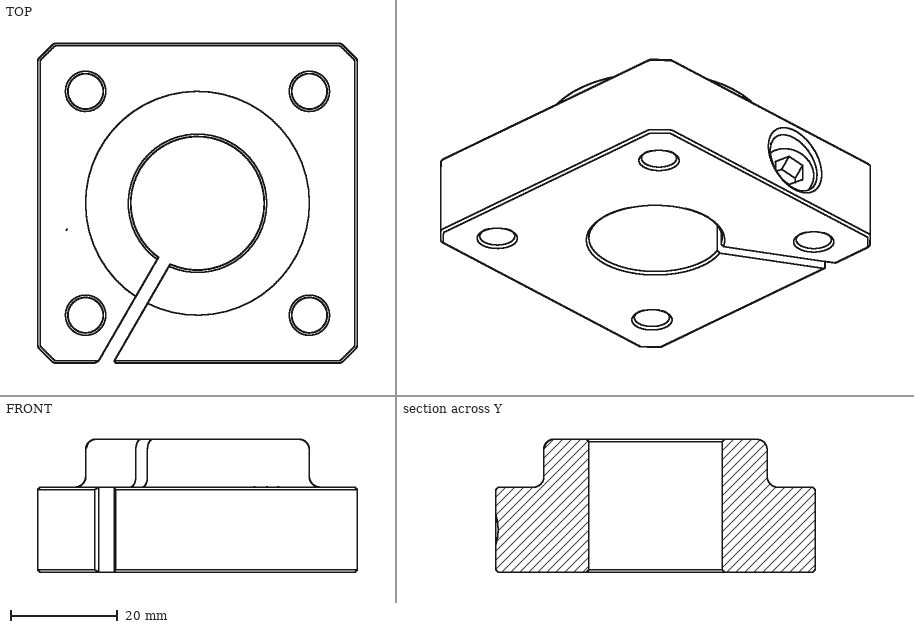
import cadquery as cq
import math

flange_side = 60.0
flange_height = 16.0
corner_cut = 3.0
corner_round = 1.0
edge_break = 0.5

hub_diameter = 42.0
total_height = 25.0
hub_round = 2.0
bore_diameter = 25.0

mount_diameter = 6.6
mount_spacing = 42.0

slot_width = 2.5
slot_tilt = 30.0

screw_offset = 20.65
counterbore_diameter = 11.0
counterbore_break = 0.9
head_diameter = 10.0
head_height = 6.0
head_edge_round = 0.8
head_recess = 3.95
socket_flats = 5.3
socket_depth = 5.0

half_side = flange_side / 2
tilt = math.radians(slot_tilt)
slot_direction = cq.Vector(-math.sin(tilt), -math.cos(tilt), 0)
screw_direction = cq.Vector(math.cos(tilt), -math.sin(tilt), 0)


def make_flange():
    flange = cq.Workplane("XY").box(flange_side, flange_side, flange_height, centered=(True, True, False))
    flange = flange.edges("|Z").chamfer(corner_cut)
    flange = flange.edges("|Z").fillet(corner_round)
    return flange.faces("<Z or >Z").edges().chamfer(edge_break)


def make_hub():
    """Hub with a rounded rim and a concave fillet at its foot, as a turned profile."""
    radius = hub_diameter / 2
    diagonal = hub_round * math.sqrt(0.5)
    foot_middle = (radius + hub_round - diagonal, flange_height + hub_round - diagonal)
    rim_middle = (radius - hub_round + diagonal, total_height - hub_round + diagonal)
    return (
        cq.Workplane("XZ")
        .moveTo(0, flange_height)
        .lineTo(radius + hub_round, flange_height)
        .threePointArc(foot_middle, (radius, flange_height + hub_round))
        .lineTo(radius, total_height - hub_round)
        .threePointArc(rim_middle, (radius - hub_round, total_height))
        .lineTo(0, total_height)
        .close()
        .revolve(360, (0, 0, 0), (0, 1, 0))
    )


def chamfered_hole(diameter, height):
    """Cutter for a through hole from Z = 0, broken at both rims."""
    radius = diameter / 2
    rim = radius + edge_break
    profile = [
        (0, 0),
        (rim, 0),
        (radius, edge_break),
        (radius, height - edge_break),
        (rim, height),
        (0, height),
    ]
    return cq.Workplane("XZ").polyline(profile).close().revolve(360, (0, 0, 0), (0, 1, 0))


def screw_plane(depth):
    """Plane square to the screw axis, at a depth below where the axis meets the -X side."""
    entry_y = (half_side * math.sin(tilt) - screw_offset) / math.cos(tilt)
    entry = cq.Vector(-half_side, entry_y, flange_height / 2)
    return cq.Plane(
        origin=entry + screw_direction * depth,
        xDir=slot_direction,
        normal=screw_direction,
    )


def cut_counterbore(body):
    run_out = counterbore_diameter
    cutter = (
        cq.Workplane(screw_plane(-run_out))
        .circle(counterbore_diameter / 2)
        .extrude(run_out + head_recess + head_height)
    )
    mouth = cq.selectors.BoxSelector(
        (-half_side - edge_break, -half_side, 0),
        (-half_side + edge_break, half_side, flange_height),
        boundingbox=True,
    )
    bored = body.cut(cutter)
    return bored.edges(mouth).edges("%ELLIPSE or %BSPLINE").chamfer(counterbore_break)


def make_screw_head():
    head = cq.Workplane(screw_plane(head_recess)).circle(head_diameter / 2).extrude(head_height)
    front_rim = cq.selectors.DirectionMinMaxSelector(screw_direction, False)
    head = head.faces(front_rim).edges().fillet(head_edge_round)
    socket_corners = socket_flats / math.cos(math.pi / 6)
    socket = (
        cq.Workplane(screw_plane(head_recess))
        .transformed(rotate=(0, 0, 90))
        .polygon(6, socket_corners)
        .extrude(socket_depth)
    )
    return head.cut(socket)


def break_slot_mouth(body):
    """Chamfer the two upright edges where the slot leaves the -Y side."""
    mouth = cq.selectors.BoxSelector(
        (-half_side + corner_cut + corner_round, -half_side - edge_break, 0),
        (half_side - corner_cut - corner_round, -half_side + edge_break, flange_height),
    )
    return body.edges("|Z").edges(mouth).chamfer(edge_break)


def make_slot():
    return (
        cq.Workplane("XY")
        .box(slot_width, flange_side, total_height, centered=(True, False, False))
        .rotate((0, 0, 0), (0, 0, 1), 180 - slot_tilt)
    )


body = make_flange()
body = cut_counterbore(body)
body = body.union(make_hub())
body = body.cut(chamfered_hole(bore_diameter, total_height))
mount_hole = chamfered_hole(mount_diameter, flange_height)
for x in (-mount_spacing / 2, mount_spacing / 2):
    for y in (-mount_spacing / 2, mount_spacing / 2):
        body = body.cut(mount_hole.translate((x, y, 0)))
body = body.cut(make_slot())
body = break_slot_mouth(body)
result = body.union(make_screw_head())